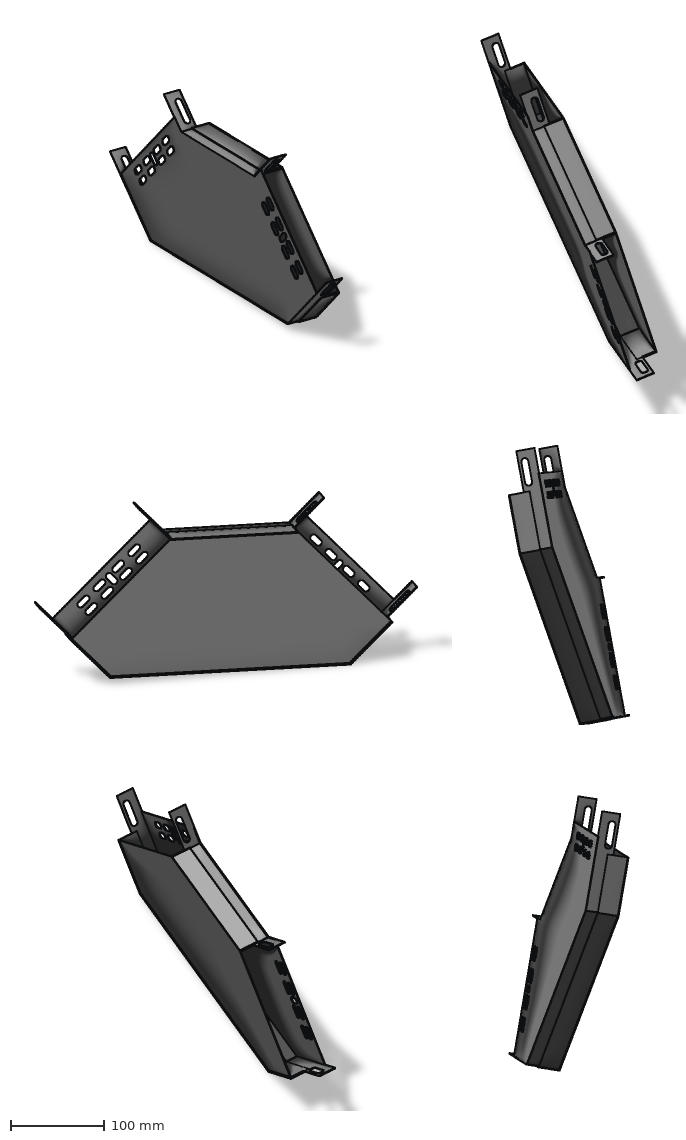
import cadquery as cq
import math

SHEET = 1.0
TRAY_WIDTH = 151.5
INNER_LENGTH = 140.5
TRAY_DEPTH = 35.5
SKIRT_DEPTH = 23.0

WALL_REACH = 1.0
BASE_REACH = 18.0
TAB_REACH = 45.8

TAB_WIDTH = 20.0
TAB_SLOT_LENGTH = 30.0
TAB_SLOT_WIDTH = 7.5
TAB_SLOT_FROM_TIP = 24.0
TAB_SLOT_HEIGHT = 13.0

BASE_SLOT_LENGTH = 15.5
BASE_SLOT_WIDTH = 7.0
BASE_SLOT_OFFSETS = (14.3, 38.5)
BASE_SLOT_ROWS = (11.8, 24.5)
CENTRE_SLOT_FROM_EDGE = 16.5

CUT_MARGIN = 1.0

TILT_X = -0.3
TILT_Y = -1.6
TILT_Z = 1.2

ARM_ANGLE = 45
SIN_ARM = math.sin(math.radians(ARM_ANGLE))
COS_ARM = math.cos(math.radians(ARM_ANGLE))
MITRE = math.tan(math.radians(ARM_ANGLE / 2))


def corner(across):
    """Right-hand corner of a line lying `across` from the inner wall's outer face."""
    return (INNER_LENGTH / 2 + across * MITRE, -across)


def arm_point(across, reach):
    """Point on the right-hand arm, `across` from the inner wall and `reach` along the arm."""
    x = INNER_LENGTH / 2 + reach * COS_ARM + across * SIN_ARM
    z = reach * SIN_ARM - across * COS_ARM
    return (x, z)


def bend(across_start, across_end, reach, y_start, y_end):
    """Solid strip that follows the whole bend, between two lines parallel to the walls."""
    right = [
        corner(across_start),
        arm_point(across_start, reach),
        arm_point(across_end, reach),
        corner(across_end),
    ]
    left = [(-x, z) for x, z in reversed(right)]
    outline = cq.Workplane("XZ", origin=(0, y_start, 0)).polyline(right + left).close()
    return outline.extrude(y_start - y_end)


def on_both_arms(right):
    """The cutter of the right-hand arm together with its mirror image on the left-hand arm."""
    return right.union(right.mirror("YZ"))


def base_cutter(places, angle):
    """Slot cutters at `places` that start below the base plate and end above it."""
    start = cq.Workplane("XZ", origin=(0, -CUT_MARGIN, 0)).pushPoints(places)
    slots = start.slot2D(BASE_SLOT_LENGTH, BASE_SLOT_WIDTH, angle)
    return slots.extrude(-(SHEET + 2 * CUT_MARGIN))


def base_slots():
    """Two rows of slots along each open edge of the base, with one crosswise slot in the middle."""
    centre = TRAY_WIDTH / 2
    row_places = [
        arm_point(centre + side * offset, BASE_REACH - row)
        for offset in BASE_SLOT_OFFSETS
        for side in (-1, 1)
        for row in BASE_SLOT_ROWS
    ]
    centre_place = arm_point(centre, BASE_REACH - CENTRE_SLOT_FROM_EDGE)
    rows = base_cutter(row_places, -ARM_ANGLE)
    centre_slot = base_cutter([centre_place], ARM_ANGLE)
    return on_both_arms(rows.union(centre_slot))


def tab_slots():
    """Lengthwise slots through the four tabs; one cutter per arm crosses both of its tabs."""
    x, z = arm_point(-CUT_MARGIN, TAB_REACH - TAB_SLOT_FROM_TIP)
    across_arm = cq.Plane(
        origin=(x, TAB_SLOT_HEIGHT, z),
        xDir=(COS_ARM, 0, SIN_ARM),
        normal=(SIN_ARM, 0, -COS_ARM),
    )
    outline = cq.Workplane(across_arm).slot2D(TAB_SLOT_LENGTH, TAB_SLOT_WIDTH)
    slots = outline.extrude(TRAY_WIDTH + 2 * CUT_MARGIN)
    return on_both_arms(slots)


def build_tray():
    base = bend(0, TRAY_WIDTH, BASE_REACH, 0, SHEET)
    tray = base.cut(base_slots())
    for start in (0, TRAY_WIDTH - SHEET):
        wall = bend(start, start + SHEET, WALL_REACH, 0, TRAY_DEPTH)
        tabs = bend(start, start + SHEET, TAB_REACH, 0, TAB_WIDTH)
        tray = tray.union(wall).union(tabs)
    return tray.cut(tab_slots())


def build_cover():
    """Plate resting on the tray's wall edges, with skirts outside both walls."""
    back = TRAY_DEPTH + SHEET
    cover = bend(-SHEET, TRAY_WIDTH + SHEET, WALL_REACH, TRAY_DEPTH, back)
    for start in (-SHEET, TRAY_WIDTH):
        skirt = bend(start, start + SHEET, WALL_REACH, back - SKIRT_DEPTH, back)
        cover = cover.union(skirt)
    return cover


def tilt(body):
    body = body.rotate((0, 0, 0), (0, 1, 0), TILT_Y)
    body = body.rotate((0, 0, 0), (1, 0, 0), TILT_X)
    return body.rotate((0, 0, 0), (0, 0, 1), TILT_Z)


tray = tilt(build_tray())
cover = tilt(build_cover())

result = cq.Compound.makeCompound([tray.val(), cover.val()])